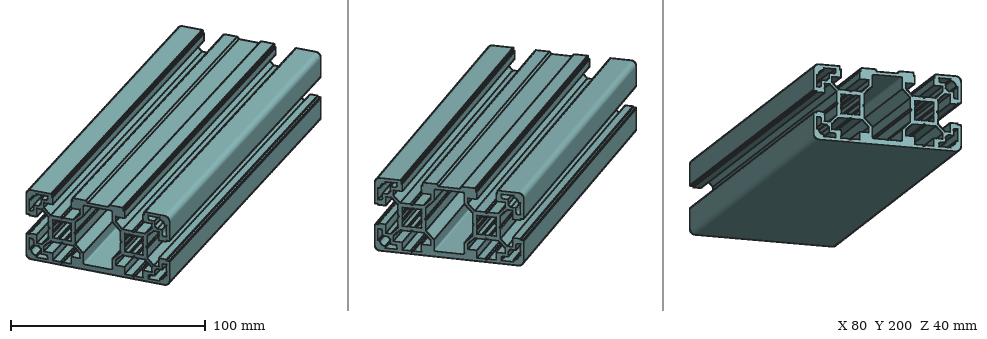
import cadquery as cq

length = 200.0
width = 80.0
height = 40.0
half_height = height / 2
cell_x = -width / 4
outer_radius = 3.0

mouth_width = 10.2
mouth_half = mouth_width / 2
mouth_step = 0.5
mouth_step_depth = 1.8
mouth_chamfer = 0.5
lip_depth = 6.0
slot_half = 10.0
skin = 1.8
notch_half = 0.8
notch_depth = 0.5

core_width = 15.0
core_half = core_width / 2
web_offset = 1.2
hole_width = 10.2
hole_half = hole_width / 2
tooth_place = 1.9
tooth_half = 0.5
tooth_height = 0.5

chamber_width = 16.2
chamber_half = chamber_width / 2
chamber_wall = 3.0
chamber_radius = 1.0
recess_half = 5.5
recess_depth = 1.2
recess_top_half = 6.5

hollow_wall = 1.8
hollow_leg = 4.2
hollow_end = 12.0
hollow_end_radius = 1.2
hollow_corner = 8.5
hollow_bevel = 1.5
hollow_arc_centre = 5.8
hollow_arc_radius = 3.0
hollow_arc_end = 5.5


def prism(outline):
    """Extrude a closed XZ outline over the whole length."""
    return outline.extrude(length / 2, both=True)


def polygon(points):
    return prism(cq.Workplane("XZ").polyline(points).close())


def mirror_points(points):
    """Add the reflection in the vertical axis to one side of an outline."""
    return points + [(-x, z) for x, z in reversed(points)]


def place_in_cell(body, angle):
    """Turn a body about the cell centre line and move it to the left cell."""
    return body.rotate((0, 0, 0), (0, 1, 0), angle).translate((cell_x, 0, 0))


def slot(closed):
    """T-slot that opens upwards from a cell centred on the origin."""
    floor = [
        (notch_half, core_half),
        (core_half - web_offset, core_half),
        (slot_half, slot_half + web_offset),
        (slot_half, half_height - lip_depth),
        (mouth_half, half_height - lip_depth),
    ]
    if closed:
        roof = half_height - skin
        mouth = [(mouth_half, roof), (notch_half, roof)]
        tip = [(0, roof + notch_depth)]
    else:
        step_half = mouth_half + mouth_step
        mouth = [
            (mouth_half, half_height - mouth_step_depth),
            (step_half, half_height - mouth_step_depth),
            (step_half, half_height - mouth_chamfer),
            (step_half + mouth_chamfer, half_height),
        ]
        tip = []
    side = floor + mouth
    opposite = [(-x, z) for x, z in reversed(side)]
    return polygon([(0, core_half - notch_depth)] + side + tip + opposite)


def core_hole():
    """Square hole with two triangular teeth on each wall."""
    hole = polygon(mirror_points([(hole_half, hole_half), (hole_half, -hole_half)]))
    for place in (-tooth_place, tooth_place):
        tooth = polygon([
            (place - tooth_half, hole_half),
            (place, hole_half - tooth_height),
            (place + tooth_half, hole_half),
        ])
        for angle in (0, 90, 180, 270):
            hole = hole.cut(tooth.rotate((0, 0, 0), (0, 1, 0), angle))
    return hole


def corner_hollow():
    """L-shaped hollow in the top left corner, symmetric about the corner diagonal."""
    arc_start = hollow_arc_centre - hollow_arc_radius
    arc_middle = hollow_arc_centre - hollow_arc_radius / 2**0.5
    arc_far_end = (hollow_arc_end, arc_start)
    leg = [
        (hollow_arc_end, hollow_wall),
        (hollow_end, hollow_wall),
        (hollow_end, hollow_leg),
        (hollow_corner, hollow_leg),
        (hollow_corner, hollow_corner - hollow_bevel),
    ]
    points = leg + [(b, a) for a, b in reversed(leg)] + [(arc_start, hollow_arc_end)]

    def from_corner(point):
        return (point[0] - width / 2, half_height - point[1])

    outline = (
        cq.Workplane("XZ")
        .polyline([from_corner(p) for p in [arc_far_end] + points])
        .threePointArc(from_corner((arc_middle, arc_middle)), from_corner(arc_far_end))
        .close()
    )
    hollow = prism(outline)
    hollow = hollow.faces(">X").edges("|Y").edges("<Z").fillet(hollow_end_radius)
    return hollow.faces("<Z").edges("|Y").edges(">X").fillet(hollow_end_radius)


def central_chamber():
    """Chamber between the two cells, with a groove in each core wall."""
    core_wall = -cell_x - core_half
    roof = half_height - chamber_wall
    shoulder = -cell_x - chamber_half - web_offset
    upper = [
        (core_wall, notch_half),
        (core_wall, core_half - web_offset),
        (chamber_half, shoulder),
        (chamber_half, roof),
    ]
    lower = [(x, -z) for x, z in reversed(upper)]
    chamber = polygon(mirror_points(lower + [(core_wall + notch_depth, 0)] + upper))
    return chamber.faces(">Z or <Z").edges("|Y").fillet(chamber_radius)


def top_recess():
    return polygon(mirror_points([
        (recess_half, half_height - recess_depth),
        (recess_top_half, half_height),
    ]))


body = cq.Workplane("XY").box(width, length, height).edges("|Y").fillet(outer_radius)

hollow = corner_hollow()
left_cuts = [
    place_in_cell(slot(closed=False), 0),
    place_in_cell(slot(closed=False), -90),
    place_in_cell(slot(closed=True), 180),
    place_in_cell(core_hole(), 0),
    hollow,
    hollow.mirror("XY"),
]
for cut in left_cuts:
    body = body.cut(cut).cut(cut.mirror("YZ"))

result = body.cut(central_chamber()).cut(top_recess())